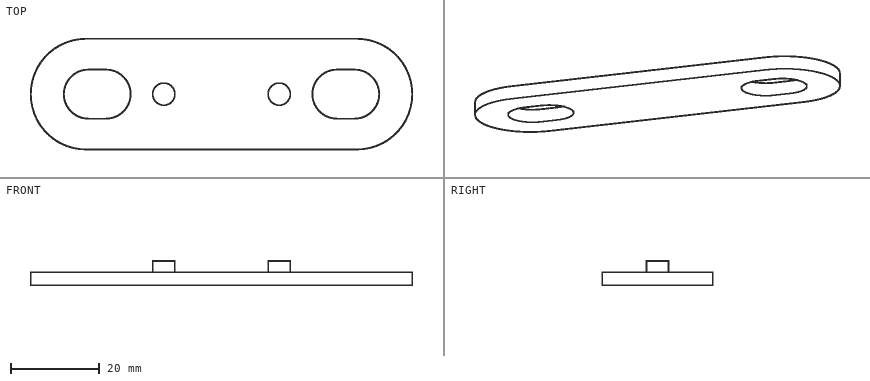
import cadquery as cq

plate_length = 86.0
plate_width = 25.0
plate_thickness = 3.0

slot_length = 15.0
slot_width = 11.0
slot_spacing = 56.0

pin_diameter = 5.0
pin_height = 2.5
pin_spacing = 26.0


def mirrored_points(spacing):
    """Two points on the X axis, symmetric about the plate centre."""
    return [(-spacing / 2, 0), (spacing / 2, 0)]


def make_plate():
    return cq.Workplane("XY").slot2D(plate_length, plate_width).extrude(plate_thickness)


def make_slots():
    return (
        cq.Workplane("XY")
        .pushPoints(mirrored_points(slot_spacing))
        .slot2D(slot_length, slot_width)
        .extrude(plate_thickness)
    )


def make_pins():
    return (
        cq.Workplane("XY")
        .pushPoints(mirrored_points(pin_spacing))
        .circle(pin_diameter / 2)
        .extrude(plate_thickness + pin_height)
    )


result = make_plate().cut(make_slots()).union(make_pins())